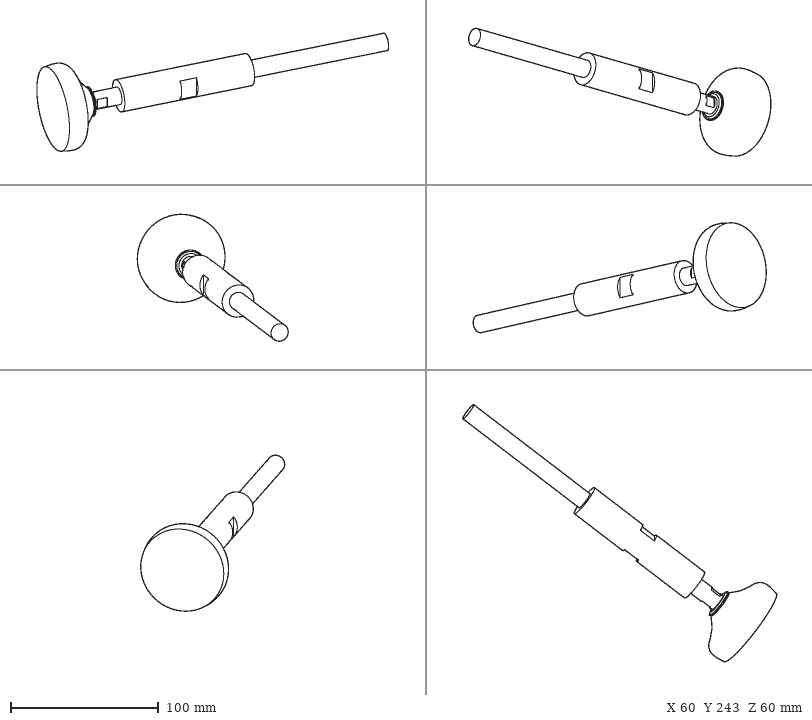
import cadquery as cq

OVERALL_LENGTH = 243.0
FOOT_RADIUS = 60.0 / 2

ROD_RADIUS = 6.0
ROD_FLAT_WIDTH = 10.0
ROD_FLAT_LENGTH = 7.3
ROD_FLAT_START = 30.1
SOCKET_FLOOR = 21.5

SLEEVE_RADIUS = 11.2
SLEEVE_LENGTH = 95.0
SLEEVE_START = 47.9
SLEEVE_FLAT_WIDTH = 17.3
SLEEVE_FLAT_LENGTH = 12.0

SOLE_RADIUS = 29.2
RIM_BOTTOM = 5.8
RIM_TOP = 8.7
SHOULDER_HEIGHT = 15.5
SHOULDER_RADIUS = 24.5
SHOULDER_MID_HEIGHT = 13.1
SHOULDER_MID_RADIUS = 28.5
FLARE_HEIGHT = 20.0
FLARE_RADIUS = 16.5
NECK_BASE_HEIGHT = 21.5
NECK_BASE_RADIUS = 14.8
NECK_TOP_HEIGHT = 26.0
NECK_TOP_RADIUS = 10.0
LIP_RADIUS = 10.2
LIP_BOTTOM = 27.0
GROOVE_RADIUS = 9.2
LIP_TOP = 27.2
CROWN_HEIGHT = 28.2
CROWN_RADIUS = 8.0


def cylinder_along_y(radius, start, end):
    """Solid cylinder on the Y axis between two heights."""
    return cq.Workplane("XZ", origin=(0, start, 0)).circle(radius).extrude(start - end)


def cut_side_flats(body, radius, flat_width, start, length):
    """Cut a pair of parallel wrench flats on the -X and +X sides."""
    depth = radius - flat_width / 2
    for side in (-1, 1):
        cutter = cq.Workplane("XY").box(depth, length, 2 * radius)
        offset = side * (flat_width + depth) / 2
        body = body.cut(cutter.translate((offset, start + length / 2, 0)))
    return body


def make_spindle():
    """Plain rod through the sleeve, with wrench flats next to the foot."""
    rod = cylinder_along_y(ROD_RADIUS, SOCKET_FLOOR, OVERALL_LENGTH)
    return cut_side_flats(rod, ROD_RADIUS, ROD_FLAT_WIDTH, ROD_FLAT_START, ROD_FLAT_LENGTH)


def make_sleeve():
    """Tube around the spindle, with wrench flats at mid-length."""
    end = SLEEVE_START + SLEEVE_LENGTH
    tube = cylinder_along_y(SLEEVE_RADIUS, SLEEVE_START, end)
    tube = tube.cut(cylinder_along_y(ROD_RADIUS, SLEEVE_START, end))
    flat_start = SLEEVE_START + (SLEEVE_LENGTH - SLEEVE_FLAT_LENGTH) / 2
    return cut_side_flats(tube, SLEEVE_RADIUS, SLEEVE_FLAT_WIDTH, flat_start, SLEEVE_FLAT_LENGTH)


def make_foot():
    """Turned foot with a rounded shoulder, a grooved neck, a thin lip and a blind spindle socket."""
    profile = (
        cq.Workplane("XY")
        .lineTo(SOLE_RADIUS, 0)
        .lineTo(FOOT_RADIUS, RIM_BOTTOM)
        .lineTo(FOOT_RADIUS, RIM_TOP)
        .threePointArc((SHOULDER_MID_RADIUS, SHOULDER_MID_HEIGHT), (SHOULDER_RADIUS, SHOULDER_HEIGHT))
        .lineTo(FLARE_RADIUS, FLARE_HEIGHT)
        .lineTo(NECK_BASE_RADIUS, NECK_BASE_HEIGHT)
        .lineTo(NECK_TOP_RADIUS, NECK_TOP_HEIGHT)
        .lineTo(GROOVE_RADIUS, NECK_TOP_HEIGHT)
        .lineTo(GROOVE_RADIUS, LIP_BOTTOM)
        .lineTo(LIP_RADIUS, LIP_BOTTOM)
        .lineTo(LIP_RADIUS, LIP_TOP)
        .lineTo(CROWN_RADIUS, CROWN_HEIGHT)
        .lineTo(0, CROWN_HEIGHT)
        .close()
    )
    foot = profile.revolve(360, (0, 0, 0), (0, 1, 0))
    return foot.cut(cylinder_along_y(ROD_RADIUS, SOCKET_FLOOR, CROWN_HEIGHT))


spindle = make_spindle()
sleeve = make_sleeve()
foot = make_foot()

result = cq.Compound.makeCompound([spindle.val(), sleeve.val(), foot.val()])